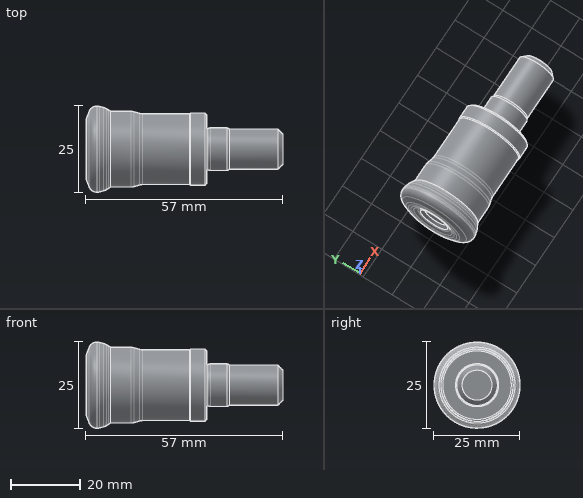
import cadquery as cq
import math

TOTAL_LENGTH = 57.0

RIM_OUTER_RADIUS = 8.3
RIM_INNER_RADIUS = 7.45
RIM_ROUND = 2.4
DISH_ROUND = 2.1
FACE_ANGLE = math.radians(22)
DISH_ANGLE = math.radians(24)
LIP_RADIUS = 12.5
LIP_ROUND = 2.3
LIP_BAND_WIDTH = 0.35
BACK_ROUND = 2.0
BACK_ANGLE = math.radians(15)
BACK_CONE_END = 5.0
NECK_CONE_START = 5.85
NECK_ANGLE = math.radians(30)
NECK_BLEND_START = 6.55
NECK_END = 7.05

DISH_RADIUS = 5.4
HOLE_MOUTH_RADIUS = 4.9
HOLE_RADIUS = 4.7
HOLE_TAPER_LENGTH = 0.95
HOLE_FLOOR_RADIUS = 3.75

GRIP_RADIUS = 22.0 / 2
SLEEVE_RADIUS = 20.6 / 2
SHOULDER_START = 12.95
SHOULDER_LENGTH = 3.4
SHOULDER_BLEND = 0.85
HANDLE_END = 29.9

COLLAR_RADIUS = 21.0 / 2
COLLAR_END = 34.95
COLLAR_FRONT_CHAMFER = 0.35
COLLAR_REAR_CHAMFER = 0.55
ROOT_FILLET = 0.1
RELIEF_RADIUS = 12.1 / 2
RELIEF_END = 35.35
SEAT_RADIUS = 12.5 / 2
SEAT_START = 36.0
SEAT_END = 40.8
SHANK_RADIUS = 11.75 / 2
SHANK_START = 41.5
TIP_CHAMFER = 1.55


def revolve_about_x(profile):
    """Turn a closed (x, radius) profile once around the X axis."""
    return profile.close().revolve(360, (0, 0, 0), (1, 0, 0))


def outer_rim_point(angle):
    """Point on the arc from the rim to the front face, at the given tilt."""
    return (RIM_ROUND * (1 - math.cos(angle)), RIM_OUTER_RADIUS + RIM_ROUND * math.sin(angle))


def inner_rim_point(angle):
    """Point on the arc from the rim into the dish, at the given tilt."""
    return (DISH_ROUND * (1 - math.cos(angle)), RIM_INNER_RADIUS - DISH_ROUND * math.sin(angle))


def make_handle():
    dish_edge = inner_rim_point(DISH_ANGLE)
    dish_depth = dish_edge[0] + (dish_edge[1] - DISH_RADIUS) * math.tan(DISH_ANGLE)
    mouth_depth = dish_depth + (DISH_RADIUS - HOLE_MOUTH_RADIUS) * math.tan(DISH_ANGLE / 2)
    floor_depth = mouth_depth + HOLE_TAPER_LENGTH

    face_edge = outer_rim_point(FACE_ANGLE)
    lip_start_radius = LIP_RADIUS - LIP_ROUND * (1 - math.sin(FACE_ANGLE))
    lip_start = face_edge[0] + (lip_start_radius - face_edge[1]) * math.tan(FACE_ANGLE)
    lip_top = lip_start + LIP_ROUND * math.cos(FACE_ANGLE)
    band_end = lip_top + LIP_BAND_WIDTH

    back_start = band_end + BACK_ROUND * math.sin(BACK_ANGLE)
    back_start_radius = LIP_RADIUS - BACK_ROUND * (1 - math.cos(BACK_ANGLE))
    back_end_radius = back_start_radius - (BACK_CONE_END - back_start) * math.tan(BACK_ANGLE)
    bend_angle = (BACK_ANGLE + NECK_ANGLE) / 2
    neck_radius = back_end_radius - (NECK_CONE_START - BACK_CONE_END) * math.tan(bend_angle)
    blend_radius = neck_radius - (NECK_BLEND_START - NECK_CONE_START) * math.tan(NECK_ANGLE)

    shoulder_end = SHOULDER_START + SHOULDER_LENGTH
    shoulder_slope = (GRIP_RADIUS - SLEEVE_RADIUS) / (SHOULDER_LENGTH - SHOULDER_BLEND)
    shoulder_angle = math.atan(shoulder_slope)
    blend_drop = SHOULDER_BLEND * math.tan(shoulder_angle / 2)

    profile = (
        cq.Workplane("XY")
        .moveTo(mouth_depth, HOLE_RADIUS)
        .lineTo(mouth_depth, HOLE_MOUTH_RADIUS)
        .tangentArcPoint((dish_depth, DISH_RADIUS), relative=False)
        .lineTo(*dish_edge)
        .threePointArc(inner_rim_point(DISH_ANGLE / 2), inner_rim_point(0))
        .lineTo(*outer_rim_point(0))
        .threePointArc(outer_rim_point(FACE_ANGLE / 2), face_edge)
        .lineTo(lip_start, lip_start_radius)
        .tangentArcPoint((lip_top, LIP_RADIUS), relative=False)
        .lineTo(band_end, LIP_RADIUS)
        .tangentArcPoint((back_start, back_start_radius), relative=False)
        .lineTo(BACK_CONE_END, back_end_radius)
        .tangentArcPoint((NECK_CONE_START, neck_radius), relative=False)
        .lineTo(NECK_BLEND_START, blend_radius)
        .tangentArcPoint((NECK_END, GRIP_RADIUS), relative=False)
        .lineTo(SHOULDER_START, GRIP_RADIUS)
        .tangentArcPoint((SHOULDER_START + SHOULDER_BLEND, GRIP_RADIUS - blend_drop), relative=False)
        .lineTo(shoulder_end - SHOULDER_BLEND, SLEEVE_RADIUS + blend_drop)
        .tangentArcPoint((shoulder_end, SLEEVE_RADIUS), relative=False)
        .lineTo(HANDLE_END, SLEEVE_RADIUS)
        .lineTo(HANDLE_END, 0)
        .lineTo(floor_depth, 0)
        .lineTo(floor_depth, HOLE_FLOOR_RADIUS)
    )
    return revolve_about_x(profile)


def make_pin():
    profile = (
        cq.Workplane("XY")
        .moveTo(HANDLE_END, 0)
        .lineTo(HANDLE_END, SLEEVE_RADIUS)
        .lineTo(HANDLE_END + COLLAR_FRONT_CHAMFER, COLLAR_RADIUS)
        .lineTo(COLLAR_END - COLLAR_REAR_CHAMFER, COLLAR_RADIUS)
        .lineTo(COLLAR_END, COLLAR_RADIUS - COLLAR_REAR_CHAMFER)
        .lineTo(COLLAR_END, RELIEF_RADIUS + ROOT_FILLET)
        .tangentArcPoint((COLLAR_END + ROOT_FILLET, RELIEF_RADIUS), relative=False)
        .lineTo(RELIEF_END, RELIEF_RADIUS)
        .lineTo(SEAT_START, SEAT_RADIUS)
        .lineTo(SEAT_END, SEAT_RADIUS)
        .lineTo(SHANK_START, SHANK_RADIUS)
        .lineTo(TOTAL_LENGTH - TIP_CHAMFER, SHANK_RADIUS)
        .lineTo(TOTAL_LENGTH, SHANK_RADIUS - TIP_CHAMFER)
        .lineTo(TOTAL_LENGTH, 0)
    )
    return revolve_about_x(profile)


handle = make_handle()
pin = make_pin()
result = cq.Compound.makeCompound([handle.val(), pin.val()])